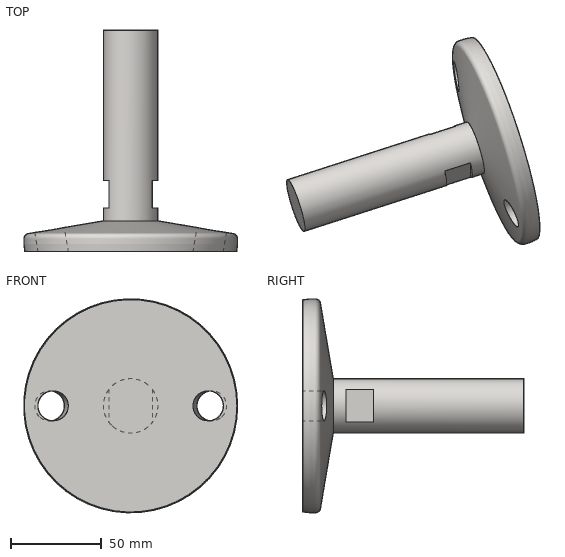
import cadquery as cq
import math

total_length = 122.0
plate_radius = 118.0 / 2
shaft_radius = 30.0 / 2

face_radius = plate_radius - 0.5
taper_height = 4.0
rim_top = 7.0
edge_radius = 3.0
cone_top = 17.0

flats_width = 24.0
flats_start = 24.0
flats_length = 15.0

hole_diameter = 16.5
hole_offset = 42.7

edge_center_radius = plate_radius - edge_radius
cone_run = edge_center_radius - shaft_radius
cone_rise = cone_top - rim_top
tangent_angle = math.asin(edge_radius / math.hypot(cone_run, cone_rise))
cone_angle = math.atan2(cone_rise, cone_run) - tangent_angle


def edge_point(angle):
    """Point on the rounded edge, with the angle measured from the radial direction."""
    return (
        edge_center_radius + edge_radius * math.cos(angle),
        rim_top + edge_radius * math.sin(angle),
    )


def turned_body():
    cone_normal = math.pi / 2 - cone_angle
    return (
        cq.Workplane("XY")
        .moveTo(0, 0)
        .lineTo(face_radius, 0)
        .lineTo(plate_radius, taper_height)
        .lineTo(plate_radius, rim_top)
        .threePointArc(edge_point(cone_normal / 2), edge_point(cone_normal))
        .lineTo(shaft_radius, cone_top)
        .lineTo(shaft_radius, total_length)
        .lineTo(0, total_length)
        .close()
        .revolve(360, (0, 0, 0), (0, 1, 0))
    )


def wrench_flat(side):
    """Block that cuts one flat; side is -1 or 1 along X."""
    depth = shaft_radius
    center_x = side * (flats_width + depth) / 2
    center_y = flats_start + flats_length / 2
    return cq.Workplane("XY").box(depth, flats_length, 2 * shaft_radius).translate((center_x, center_y, 0))


def mounting_hole(side):
    """Tilted drill through the plate; side is -1 or 1 along X."""
    axis = cq.Vector(side * math.sin(cone_angle), math.cos(cone_angle), 0)
    face_point = cq.Vector(side * hole_offset, 0, 0)
    start = face_point - axis * cone_top
    drill = cq.Solid.makeCylinder(hole_diameter / 2, 3 * cone_top, start, axis)
    return cq.Workplane(obj=drill)


result = turned_body()
for side in (-1, 1):
    result = result.cut(wrench_flat(side))
    result = result.cut(mounting_hole(side))